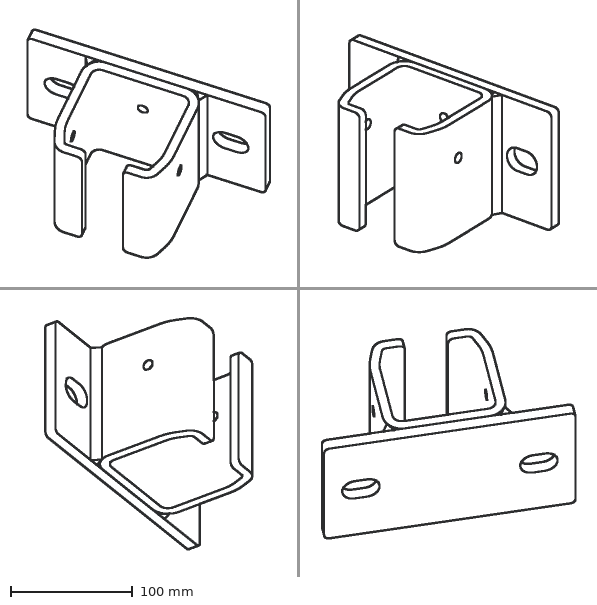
import cadquery as cq
import math

plate_width = 210.0
height = 110.0
plate_thickness = 10.0
plate_corner_radius = 4.5
slot_length = 31.0
slot_width = 21.0
slot_offset = 74.3

total_depth = 108.0
channel_half_width = 51.2
wall = 8.2
back_corner_radius = 15.8
bend_start_depth = 77.3
bend_angle = 20.0
bend_radius = 40.5
lip_corner_radius = 12.4
mouth_half_width = 18.0
lip_end_radius = 4.8

hole_diameter = 8.8
hole_height = 19.1
side_hole_depth = 65.3

weld_contact_angle = 30.0

channel_back_y = -plate_thickness
channel_front_y = -total_depth
back_corner_x = channel_half_width - back_corner_radius
back_corner_y = channel_back_y - back_corner_radius


def polar(center, radius, degrees):
    """Point on a circle at an angle measured from +X."""
    angle = math.radians(degrees)
    return (center[0] + radius * math.cos(angle), center[1] + radius * math.sin(angle))


def make_plate():
    plate = (
        cq.Workplane("XY")
        .box(plate_width, plate_thickness, height)
        .translate((0, -plate_thickness / 2, 0))
        .edges("|Y")
        .fillet(plate_corner_radius)
    )
    slots = (
        cq.Workplane("XZ")
        .pushPoints([(-slot_offset, 0), (slot_offset, 0)])
        .slot2D(slot_length, slot_width)
        .extrude(plate_thickness)
    )
    return plate.cut(slots)


def half_channel_region(inset):
    """Filled +X half of the channel outline, offset inwards by inset."""
    back_center = (back_corner_x, back_corner_y)
    bend_center = (channel_half_width - bend_radius, -bend_start_depth)
    back_radius = back_corner_radius - inset
    side_radius = bend_radius - inset
    front_radius = lip_corner_radius - inset

    bend_end = polar(bend_center, bend_radius, -bend_angle)
    lip_center_y = channel_front_y + lip_corner_radius
    slope_end_y = lip_center_y - lip_corner_radius * math.sin(math.radians(bend_angle))
    slope_end_x = bend_end[0] - (bend_end[1] - slope_end_y) * math.tan(math.radians(bend_angle))
    lip_center_x = slope_end_x - lip_corner_radius * math.cos(math.radians(bend_angle))
    lip_center = (lip_center_x, lip_center_y)

    return (
        cq.Workplane("XY")
        .moveTo(0, channel_back_y - inset)
        .lineTo(back_center[0], channel_back_y - inset)
        .threePointArc(polar(back_center, back_radius, 45), polar(back_center, back_radius, 0))
        .lineTo(*polar(bend_center, side_radius, 0))
        .threePointArc(
            polar(bend_center, side_radius, -bend_angle / 2),
            polar(bend_center, side_radius, -bend_angle),
        )
        .lineTo(*polar(lip_center, front_radius, -bend_angle))
        .threePointArc(
            polar(lip_center, front_radius, -(90 + bend_angle) / 2),
            polar(lip_center, front_radius, -90),
        )
        .lineTo(0, channel_front_y + inset)
        .close()
        .extrude(height / 2, both=True)
    )


def make_channel():
    half = half_channel_region(0).cut(half_channel_region(wall))
    channel = half.union(half.mirror("YZ"))

    mouth = (
        cq.Workplane("XY")
        .box(2 * mouth_half_width, 2 * wall, height)
        .translate((0, channel_front_y + wall, 0))
    )
    channel = channel.cut(mouth)
    selection_margin = 0.2
    lip_ends = cq.selectors.BoxSelector(
        (-mouth_half_width - selection_margin, channel_front_y - selection_margin, -height),
        (mouth_half_width + selection_margin, channel_front_y + wall + selection_margin, height),
    )
    channel = channel.edges(lip_ends).edges("|Y").fillet(lip_end_radius)

    side_holes = (
        cq.Workplane("YZ")
        .center(-side_hole_depth, hole_height)
        .circle(hole_diameter / 2)
        .extrude(channel_half_width, both=True)
    )
    back_hole = (
        cq.Workplane("XZ", origin=(0, channel_back_y, 0))
        .center(0, hole_height)
        .circle(hole_diameter / 2)
        .extrude(wall)
    )
    return channel.cut(side_holes).cut(back_hole)


def make_weld(side):
    """Triangular bead between plate and channel; side is -1 or +1 along X."""
    apex = polar((back_corner_x, back_corner_y), back_corner_radius, weld_contact_angle)
    half_base = (channel_back_y - apex[1]) * math.tan(math.radians(weld_contact_angle))
    return (
        cq.Workplane("XY")
        .moveTo(side * apex[0], apex[1])
        .lineTo(side * (apex[0] + half_base), channel_back_y)
        .lineTo(side * (apex[0] - half_base), channel_back_y)
        .close()
        .extrude(height / 2, both=True)
    )


plate = make_plate()
channel = make_channel()
welds = [make_weld(side) for side in (-1, 1)]

result = cq.Compound.makeCompound([plate.val(), channel.val(), *[weld.val() for weld in welds]])